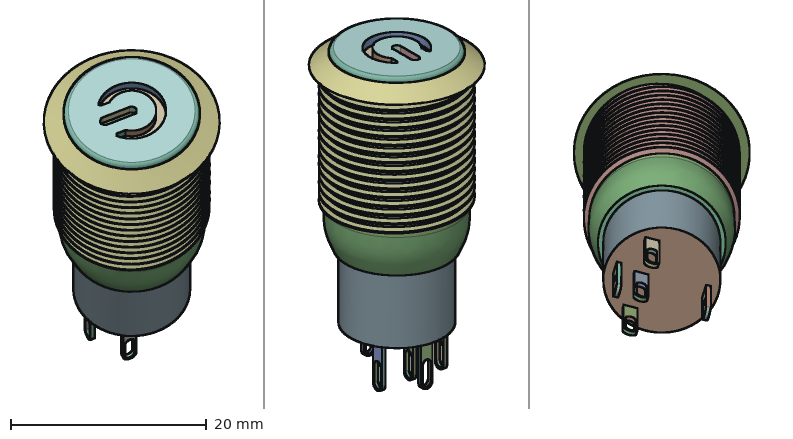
import cadquery as cq
import math

total_height = 37.1
base_bottom = 5.68
base_top = 14.3
barrel_bottom = 19.1
flange_bottom = 35.1
flange_top = 36.58

base_diameter = 12.0
bell_bottom_diameter = 13.05
barrel_diameter = 14.88
thread_diameter = 15.95
flange_diameter = 18.0
flange_top_diameter = 14.0
cap_diameter = 13.9
cap_fillet = 0.5
bell_bulge = 0.4

thread_turns_per_barrel = 16
thread_pitch = (flange_bottom - barrel_bottom) / thread_turns_per_barrel
thread_start = 19.6
thread_start_angle = 110.0
thread_turns = 15.8
tooth_crest = 0.15
tooth_root = 0.85
tooth_overlap = 0.1

symbol_width = 1.0
symbol_radius = 3.0
symbol_depth = 1.0
ring_gap = 3.85
ring_corner_radius = 0.22

lug_width = 1.5
lug_thickness = 0.5
lug_slot_width = 1.0
lug_slot_top = 3.35
side_lug_x = 4.0
side_lug_y = -2.23
end_lug_y = 4.75


def make_body():
    """Revolve the base, the rounded bell, the barrel, the conical flange and the cap."""
    bell_middle_radius = (bell_bottom_diameter + barrel_diameter) / 4 + bell_bulge
    bell_middle_z = (base_top + barrel_bottom) / 2
    profile = (
        cq.Workplane("XZ")
        .moveTo(0, base_bottom)
        .lineTo(base_diameter / 2, base_bottom)
        .lineTo(base_diameter / 2, base_top)
        .lineTo(bell_bottom_diameter / 2, base_top)
        .threePointArc((bell_middle_radius, bell_middle_z), (barrel_diameter / 2, barrel_bottom))
        .lineTo(barrel_diameter / 2, flange_bottom)
        .lineTo(flange_diameter / 2, flange_bottom)
        .lineTo(flange_top_diameter / 2, flange_top)
        .lineTo(cap_diameter / 2, flange_top)
        .lineTo(cap_diameter / 2, total_height)
        .lineTo(0, total_height)
        .close()
    )
    body = profile.revolve(360, (0, 0, 0), (0, 1, 0))
    return body.faces(">Z").edges().fillet(cap_fillet)


def make_threaded_barrel():
    """Barrel cylinder with one tooth swept along a helix; both end inside the flange."""
    inner_radius = barrel_diameter / 2 - tooth_overlap
    outer_radius = thread_diameter / 2
    helix = cq.Wire.makeHelix(thread_pitch, thread_pitch * thread_turns, inner_radius)
    tooth = cq.Workplane("XZ").polyline([
        (inner_radius, -tooth_root / 2),
        (outer_radius, -tooth_crest / 2),
        (outer_radius, tooth_crest / 2),
        (inner_radius, tooth_root / 2),
    ]).close()
    thread = tooth.sweep(cq.Workplane(obj=helix), isFrenet=True)
    thread = thread.rotate((0, 0, 0), (0, 0, 1), thread_start_angle).translate((0, 0, thread_start))
    barrel = (
        cq.Workplane("XY", origin=(0, 0, barrel_bottom))
        .circle(barrel_diameter / 2)
        .extrude((flange_bottom + flange_top) / 2 - barrel_bottom)
    )
    return barrel.union(thread)


def make_symbol():
    """Cutter for the power symbol: an open ring and an upright bar with round ends."""
    outer_radius = symbol_radius + symbol_width / 2
    inner_radius = symbol_radius - symbol_width / 2
    half_gap = ring_gap / 2
    outer_end_y = -math.sqrt(outer_radius**2 - half_gap**2)
    inner_end_y = -math.sqrt(inner_radius**2 - half_gap**2)
    floor = cq.Workplane("XY", origin=(0, 0, total_height - symbol_depth))
    ring = (
        floor.moveTo(-half_gap, outer_end_y)
        .threePointArc((0, outer_radius), (half_gap, outer_end_y))
        .lineTo(half_gap, inner_end_y)
        .threePointArc((0, inner_radius), (-half_gap, inner_end_y))
        .close()
        .extrude(symbol_depth)
        .edges("|Z and <Y")
        .fillet(ring_corner_radius)
    )
    bar = (
        floor.center(0, -symbol_radius / 2)
        .slot2D(symbol_radius + symbol_width, symbol_width, 90)
        .extrude(symbol_depth)
    )
    return ring.union(bar)


def make_lug():
    """One lug centred on the Z axis with its flat faces toward +Y and -Y."""
    tip_radius = lug_width / 2
    slot_bottom = (lug_width - lug_slot_width) / 2
    slot_length = lug_slot_top - slot_bottom
    blade = (
        cq.Workplane("XZ")
        .moveTo(-tip_radius, base_bottom)
        .lineTo(-tip_radius, tip_radius)
        .threePointArc((0, 0), (tip_radius, tip_radius))
        .lineTo(tip_radius, base_bottom)
        .close()
        .extrude(lug_thickness / 2, both=True)
    )
    slot = (
        cq.Workplane("XZ")
        .center(0, slot_bottom + slot_length / 2)
        .slot2D(slot_length, lug_slot_width, 90)
        .extrude(lug_thickness, both=True)
    )
    return blade.cut(slot)


result = make_threaded_barrel().union(make_body()).cut(make_symbol())

end_lug = make_lug()
for y in (-end_lug_y, end_lug_y):
    result = result.union(end_lug.translate((0, y, 0)))

side_lug = end_lug.rotate((0, 0, 0), (0, 0, 1), 90)
for x in (-side_lug_x, 0, side_lug_x):
    result = result.union(side_lug.translate((x, side_lug_y, 0)))